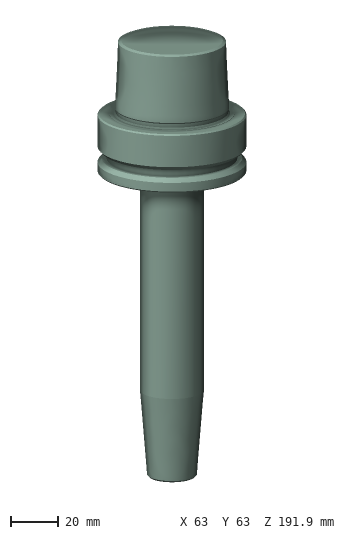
import cadquery as cq

taper_height = 32.0
taper_top_radius = 22.8
taper_base_radius = 24.2
taper_top_inset = 1.3
taper_top_drop = 0.5

relief_height = 2.7
relief_radius = 23.8
relief_foot_radius = 24.5
relief_step = 0.5

seat_radius = 26.5
seat_drop = 0.2

flange_radius = 31.5
flange_height = 26.0
flange_chamfer = 0.5

groove_depth = 3.8
groove_centre = 18.0
groove_floor_width = 3.5
groove_chamfer = 1.7

shank_length = 159.9
shank_radius = 13.53
nose_length = 37.8
nose_radius = 10.5
nose_chamfer = 0.8

groove_top = -groove_centre + groove_floor_width / 2
groove_bottom = groove_top - groove_floor_width
groove_radius = flange_radius - groove_depth
groove_lip_radius = flange_radius - groove_chamfer
flange_rim_radius = flange_radius - flange_chamfer

taper_profile = [
    (0, taper_height),
    (taper_top_radius - taper_top_inset, taper_height),
    (taper_top_radius, taper_height - taper_top_drop),
    (taper_base_radius, relief_height),
    (relief_radius, relief_height - relief_step),
    (relief_radius, relief_step),
    (relief_foot_radius, 0),
]

flange_profile = [
    (seat_radius, 0),
    (seat_radius, -seat_drop),
    (flange_rim_radius, -seat_drop),
    (flange_radius, -seat_drop - flange_chamfer),
    (flange_radius, groove_top + groove_chamfer),
    (groove_lip_radius, groove_top),
    (groove_radius, groove_top),
    (groove_radius, groove_bottom),
    (groove_lip_radius, groove_bottom),
    (flange_radius, groove_bottom - groove_chamfer),
    (flange_radius, -flange_height + flange_chamfer),
    (flange_rim_radius, -flange_height),
]

shank_profile = [
    (shank_radius, -flange_height),
    (shank_radius, -shank_length + nose_length),
    (nose_radius, -shank_length + nose_chamfer),
    (nose_radius - nose_chamfer, -shank_length),
    (0, -shank_length),
]

result = (
    cq.Workplane("XZ")
    .polyline(taper_profile + flange_profile + shank_profile)
    .close()
    .revolve(360, (0, 0, 0), (0, 1, 0))
)